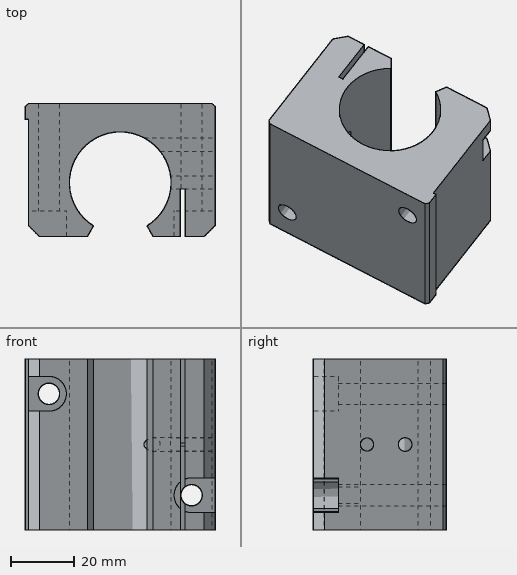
import cadquery as cq
import math

WIDTH = 60.0
DEPTH = 42.0
HEIGHT = 54.0
BORE_RADIUS = 16.0
BORE_TO_BACK = 25.0

LEFT = -WIDTH / 2
RIGHT = WIDTH / 2
BACK = BORE_TO_BACK
FRONT = BACK - DEPTH

BACK_CHAMFER = 1.0
FRONT_CHAMFER = 3.5
LEDGE_LENGTH = 5.0
LEDGE_STEP = 1.0
LIP_HALF_GAP = 8.4
MOUTH_FLARE_ANGLE = 30.0

SLIT_WIDTH = 1.5
SLIT_DEPTH = 15.0
SLIT_CENTER_X = 19.7

MOUNT_X = 22.5
MOUNT_Z = 16.0
MOUNT_DIAMETER = 6.65
COUNTERBORE_DIAMETER = 11.0
COUNTERBORE_DEPTH = 8.0

LOCK_HOLE_DIAMETER = 4.13
LOCK_HOLE_Y = 0.0
LUBE_HOLE_DIAMETER = 4.3
LUBE_HOLE_Y = 12.0


def make_body():
    """Extruded block outline with the open bore and its flared mouth."""
    side = LEFT + LEDGE_STEP
    ledge_end = BACK - LEDGE_LENGTH
    lip_y = -math.sqrt(BORE_RADIUS**2 - LIP_HALF_GAP**2)
    mouth_x = LIP_HALF_GAP + (lip_y - FRONT) * math.tan(math.radians(MOUTH_FLARE_ANGLE))
    return (
        cq.Workplane("XY")
        .workplane(offset=-HEIGHT / 2)
        .moveTo(LEFT + BACK_CHAMFER, BACK)
        .lineTo(RIGHT - BACK_CHAMFER, BACK)
        .lineTo(RIGHT, BACK - BACK_CHAMFER)
        .lineTo(RIGHT, FRONT + FRONT_CHAMFER)
        .lineTo(RIGHT - FRONT_CHAMFER, FRONT)
        .lineTo(mouth_x, FRONT)
        .lineTo(LIP_HALF_GAP, lip_y)
        .threePointArc((0, BORE_RADIUS), (-LIP_HALF_GAP, lip_y))
        .lineTo(-mouth_x, FRONT)
        .lineTo(side + FRONT_CHAMFER, FRONT)
        .lineTo(side, FRONT + FRONT_CHAMFER)
        .lineTo(side, ledge_end)
        .lineTo(LEFT, ledge_end)
        .lineTo(LEFT, BACK - BACK_CHAMFER)
        .close()
        .extrude(HEIGHT)
    )


def make_slit():
    """Full-height slit cut in from the front face."""
    return cq.Workplane("XY").box(SLIT_WIDTH, SLIT_DEPTH, HEIGHT).translate(
        (SLIT_CENTER_X, FRONT + SLIT_DEPTH / 2, 0)
    )


def make_mount_cut(side):
    """Through hole along Y and its counterbore, open to the left (-1) or right (+1)."""
    x = side * MOUNT_X
    z = -side * MOUNT_Z
    front_plane = cq.Workplane("XZ", origin=(x, FRONT, z))
    hole = front_plane.circle(MOUNT_DIAMETER / 2).extrude(-DEPTH)
    seat = front_plane.circle(COUNTERBORE_DIAMETER / 2).extrude(-COUNTERBORE_DEPTH)
    run_out = RIGHT - MOUNT_X
    side_opening = (
        front_plane.center(side * run_out / 2, 0)
        .rect(run_out, COUNTERBORE_DIAMETER)
        .extrude(-COUNTERBORE_DEPTH)
    )
    return hole.union(seat).union(side_opening)


def make_cross_hole(y, diameter):
    """Hole along X at mid height, from the bore out through the right side."""
    return cq.Workplane("YZ").center(y, 0).circle(diameter / 2).extrude(RIGHT)


result = make_body().cut(make_slit())
for mount_side in (-1, 1):
    result = result.cut(make_mount_cut(mount_side))
result = result.cut(make_cross_hole(LOCK_HOLE_Y, LOCK_HOLE_DIAMETER))
result = result.cut(make_cross_hole(LUBE_HOLE_Y, LUBE_HOLE_DIAMETER))